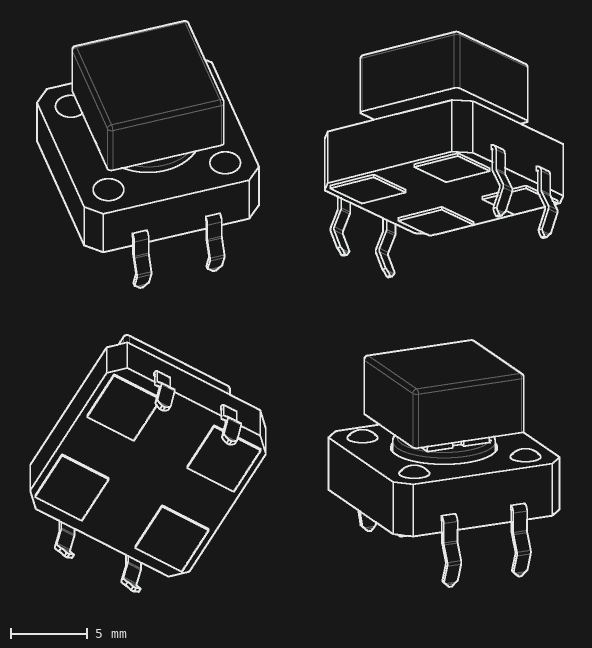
import cadquery as cq
import math

body_width = 12.0
body_bottom = 3.7
body_height = 3.6
body_top = body_bottom + body_height
corner_cut = 1.0

collar_diameter = 6.7
collar_height = 0.7
collar_fillet = 0.28
recess_diameter = 6.95
recess_depth = 0.3

stem_width = 4.45
slot_width = 0.8
slot_depth = 0.4

cap_width = 8.0
cap_bottom = 9.0
cap_height = 4.0
cap_fillet = 0.28

rivet_offset = 4.0
rivet_diameter = 2.0
rivet_radius = rivet_diameter / 2
rivet_height = 0.5

pad_size = 3.53
pad_height = 0.2
pad_x = 3.4
pad_y = 3.77

lead_span = 14.0
lead_thickness = 0.3
lead_width = 1.0
lead_y = 2.5
lead_outer_x = 6.4
lead_top = 4.85
lead_shoulder_radius = 0.39
lead_embed = 0.28
lead_bend_radius = 0.3
knee_z = 1.8
upper_leg_angle = math.radians(27)
lower_leg_angle = math.radians(22)
tip_chamfer = 0.39


def make_body():
    block = (
        cq.Workplane("XY", origin=(0, 0, body_bottom))
        .rect(body_width, body_width)
        .extrude(body_height)
        .edges("|Z")
        .chamfer(corner_cut)
    )
    recess = (
        cq.Workplane("XY", origin=(0, 0, body_top - recess_depth))
        .circle(recess_diameter / 2)
        .extrude(recess_depth)
    )
    return block.cut(recess)


def make_collar():
    return (
        cq.Workplane("XY", origin=(0, 0, body_top - recess_depth))
        .circle(collar_diameter / 2)
        .extrude(recess_depth + collar_height)
        .faces(">Z")
        .edges()
        .fillet(collar_fillet)
    )


def make_stem():
    stem_height = cap_bottom - body_top
    stem = (
        cq.Workplane("XY", origin=(0, 0, body_top))
        .rect(stem_width, stem_width)
        .extrude(stem_height)
    )
    slots = (
        cq.Workplane("XY", origin=(0, 0, body_top))
        .pushPoints([(-stem_width / 2, 0), (stem_width / 2, 0)])
        .rect(2 * slot_depth, slot_width)
        .extrude(stem_height)
    )
    return stem.cut(slots)


def make_cap():
    return (
        cq.Workplane("XY", origin=(0, 0, cap_bottom))
        .rect(cap_width, cap_width)
        .extrude(cap_height)
        .edges("|Z or >Z")
        .fillet(cap_fillet)
    )


def make_rivet_heads():
    sphere_radius = (rivet_radius**2 + rivet_height**2) / (2 * rivet_height)
    arc_mid_angle = math.asin(rivet_radius / sphere_radius) / 2
    arc_mid = (
        sphere_radius * math.sin(arc_mid_angle),
        rivet_height - sphere_radius * (1 - math.cos(arc_mid_angle)),
    )
    head = (
        cq.Workplane("XZ", origin=(0, 0, body_top))
        .lineTo(rivet_radius, 0)
        .threePointArc(arc_mid, (0, rivet_height))
        .close()
        .revolve(360, (0, 0), (0, 1))
    )
    heads = cq.Workplane("XY")
    for x in (-rivet_offset, rivet_offset):
        for y in (-rivet_offset, rivet_offset):
            heads = heads.add(head.translate((x, y, 0)))
    return heads.combine()


def make_pads():
    return (
        cq.Workplane("XY", origin=(0, 0, body_bottom - pad_height))
        .rect(2 * pad_x, 2 * pad_y, forConstruction=True)
        .vertices()
        .rect(pad_size, pad_size)
        .extrude(pad_height)
    )


def make_lead():
    """Lead on the +X side, centred on Y = 0."""
    half_turn = (upper_leg_angle + lower_leg_angle) / 2
    half_tilt = (upper_leg_angle - lower_leg_angle) / 2
    knee_rounding = lead_bend_radius * (math.cos(half_tilt) / math.cos(half_turn) - 1)
    knee_reach = lead_span / 2 + knee_rounding - lead_outer_x
    upper_bend_z = knee_z + knee_reach / math.tan(upper_leg_angle)
    lower_bend_z = knee_z - knee_reach / math.tan(lower_leg_angle)

    inner_x = lead_outer_x - lead_thickness
    root_x = body_width / 2 - lead_embed
    profile = [
        (root_x, lead_top),
        (lead_outer_x, lead_top),
        (lead_outer_x, upper_bend_z),
        (lead_outer_x + knee_reach, knee_z),
        (lead_outer_x, lower_bend_z),
        (lead_outer_x, 0),
        (inner_x, 0),
        (inner_x, lower_bend_z),
        (inner_x + knee_reach, knee_z),
        (inner_x, upper_bend_z),
        (inner_x, lead_top - lead_thickness),
        (root_x, lead_top - lead_thickness),
    ]
    strip = cq.Workplane("XZ").polyline(profile).close().extrude(lead_width / 2, both=True)

    shoulder = cq.selectors.NearestToPointSelector((lead_outer_x, 0, lead_top))
    strip = strip.edges("|Y").edges(shoulder).fillet(lead_shoulder_radius)

    for bend_x in (inner_x, lead_outer_x):
        for x, z in (
            (bend_x, upper_bend_z),
            (bend_x + knee_reach, knee_z),
            (bend_x, lower_bend_z),
        ):
            bend = cq.selectors.NearestToPointSelector((x, 0, z))
            strip = strip.edges("|Y").edges(bend).fillet(lead_bend_radius)

    return strip.faces("<Z").edges("|X").chamfer(tip_chamfer)


def make_leads():
    lead = make_lead()
    leads = cq.Workplane("XY")
    for y in (-lead_y, lead_y):
        right_lead = lead.translate((0, y, 0))
        leads = leads.add(right_lead).add(right_lead.mirror("YZ"))
    return leads.combine()


result = (
    make_body()
    .union(make_collar())
    .union(make_stem())
    .union(make_cap())
    .union(make_rivet_heads())
    .union(make_pads())
    .union(make_leads())
)